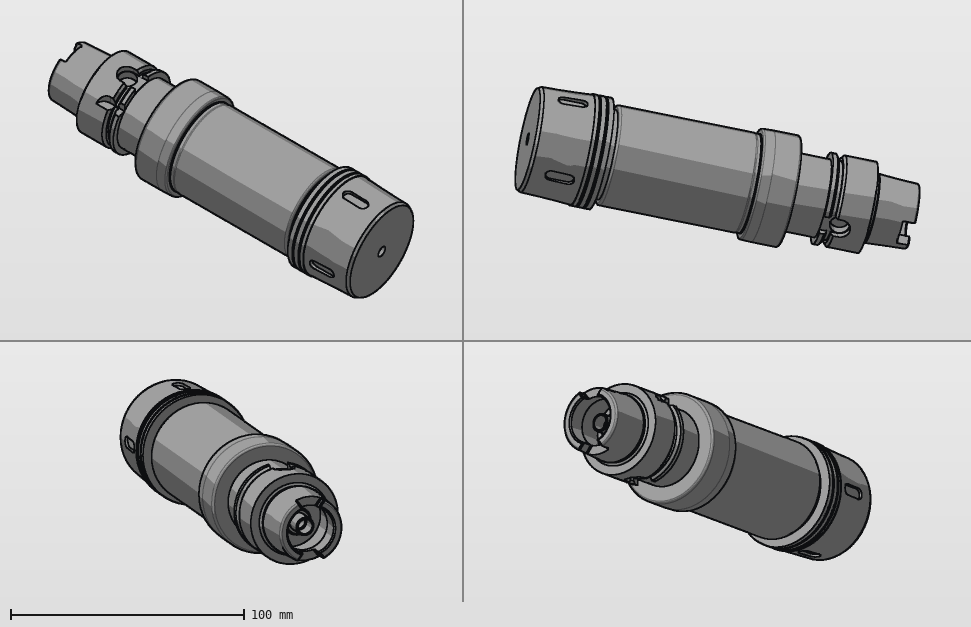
import cadquery as cq
import math


shank_tip_r = 14.3
shank_tip_rounding = 0.8
shank_base_r = 15.22
relief_start_x = 18.0
relief_floor_x = 18.4
relief_floor_end_x = 19.5
relief_r = 14.88
relief_flare_r = 16.2
flange_face_x = 20.0

flange_r = 20.0
groove_start_x = 33.8
groove_left_wall_x = 35.0
groove_right_wall_x = 36.9
groove_end_x = 37.9
groove_wall_r = 18.7
groove_floor_r = 17.3
neck_r = 17.2
flange_back_x = 40.0

collar_x = 54.7
collar_r = 24.5
collar_back_x = 71.7
collar_front_rounding = 1.0
collar_taper_x = 66.6
collar_back_r = 24.3
collar_back_rounding = 0.7
body_r = 22.0
body_relief_start_x = 72.2
body_relief_end_x = 73.8
body_relief_r = 21.8
body_shoulder_x = 74.5
body_end_rounding = 1.0
body_end_x = 135.0
nut_neck_r = 19.7

nut_x = 137.9
nut_rim_end_x = 146.2
nut_cone_end_x = 168.5
nut_cone_start_r = 24.1
nut_cone_end_r = 23.1
nut_end_r = 22.3
length = 170.0
ring_groove_starts = (140.2, 143.5)
ring_groove_width = 0.8
ring_groove_r = 23.3

slot_count = 4
slot_start_x = 149.5
slot_length = 12.8
slot_width = 5.0
slot_floor_r = 22.1

bore_r = 10.5
bore_mouth_r = 11.2
bore_mouth_depth = 0.6
undercut_r = 12.8
undercut_x = 8.2
bore_floor_x = 22.1
tube_x = 7.1
tube_r = 4.0
tube_bevel = 0.25
tube_nut_x = 15.3
tube_nut_r = 6.04
tube_nut_bevel = 0.7
tube_mouth_r = 3.2
tube_mouth_depth = 6.8
coolant_hole_r = 2.46

drive_slot_inner_width = 7.1
drive_slot_outer_width = 11.9
drive_slot_inner_z = 10.0
drive_slot_outer_z = 13.1
top_drive_depth = 3.2
bottom_drive_depth = 5.6
drive_slot_bevel = 0.5

cutter_d = 9.0
cutter_x = 32.1
pocket_hole_d = 8.5
pocket_floor_z = 12.8
pocket_channel_z = 16.8
notch_floor_z = 12.0
notch_wall_y = -12.0

MARGIN = 1.7


def revolve_about_x(points):
    """Turn a closed (x, radius) outline about the X axis."""
    return cq.Workplane("XY").polyline(points).close().revolve(360, (0, 0, 0), (1, 0, 0))


def round_corner(sketch, x, r, rounding, start, end):
    """Line to a corner at (x, r) and round it; start and end are unit steps in and out of it."""
    half = rounding * (1 - math.sqrt(0.5))
    middle_x = x - half * (start[0] - end[0])
    middle_r = r - half * (start[1] - end[1])
    return sketch.lineTo(x - rounding * start[0], r - rounding * start[1]).threePointArc(
        (middle_x, middle_r), (x + rounding * end[0], r + rounding * end[1])
    )


def line_through(sketch, points):
    for x, r in points:
        sketch = sketch.lineTo(x, r)
    return sketch


def turned_body():
    outward, inward, along = (0, 1), (0, -1), (1, 0)
    sketch = cq.Workplane("XY").moveTo(0, 0)
    sketch = round_corner(sketch, 0, shank_tip_r, shank_tip_rounding, outward, along)
    sketch = line_through(sketch, [
        (relief_start_x, shank_base_r),
        (relief_floor_x, relief_r),
        (relief_floor_end_x, relief_r),
        (flange_face_x, relief_flare_r),
        (flange_face_x, flange_r),
        (groove_start_x, flange_r),
        (groove_left_wall_x, groove_wall_r),
        (groove_left_wall_x, groove_floor_r),
        (groove_right_wall_x, groove_floor_r),
        (groove_right_wall_x, groove_wall_r),
        (groove_end_x, flange_r),
        (flange_back_x, flange_r),
        (flange_back_x, neck_r),
        (collar_x, neck_r),
    ])
    sketch = round_corner(sketch, collar_x, collar_r, collar_front_rounding, outward, along)
    sketch = sketch.lineTo(collar_taper_x, collar_r)
    sketch = round_corner(sketch, collar_back_x, collar_back_r, collar_back_rounding, along, inward)
    sketch = line_through(sketch, [
        (collar_back_x, body_r),
        (body_relief_start_x, body_relief_r),
        (body_relief_end_x, body_relief_r),
        (body_shoulder_x, body_r),
    ])
    sketch = round_corner(sketch, body_end_x, body_r, body_end_rounding, along, inward)
    sketch = line_through(sketch, [
        (body_end_x, nut_neck_r),
        (nut_x, nut_neck_r),
        (nut_x, collar_r),
    ])
    for start in ring_groove_starts:
        end = start + ring_groove_width
        sketch = line_through(sketch, [
            (start, collar_r),
            (start, ring_groove_r),
            (end, ring_groove_r),
            (end, collar_r),
        ])
    sketch = line_through(sketch, [
        (nut_rim_end_x, collar_r),
        (nut_rim_end_x, nut_cone_start_r),
        (nut_cone_end_x, nut_cone_end_r),
        (length, nut_end_r),
        (length, 0),
    ])
    return sketch.close().revolve(360, (0, 0, 0), (1, 0, 0))


def shank_bore():
    """Undercut bore, leaving the coolant tube and its nut standing."""
    return revolve_about_x([
        (0, 0),
        (0, bore_mouth_r),
        (bore_mouth_depth, bore_r),
        (undercut_x, bore_r),
        (undercut_x, undercut_r),
        (bore_floor_x, undercut_r),
        (bore_floor_x, tube_nut_r),
        (tube_nut_x + tube_nut_bevel, tube_nut_r),
        (tube_nut_x, tube_nut_r - tube_nut_bevel),
        (tube_nut_x, tube_r),
        (tube_x + tube_bevel, tube_r),
        (tube_x, tube_r - tube_bevel),
        (tube_x, 0),
    ])


def coolant_hole():
    return revolve_about_x([
        (tube_x, 0),
        (tube_x, tube_mouth_r),
        (tube_x + tube_mouth_depth, tube_mouth_r),
        (tube_x + tube_mouth_depth, coolant_hole_r),
        (length, coolant_hole_r),
        (length, 0),
    ])


def drive_slot_outline():
    """Cross-section of a drive slot whose flanks flare outwards."""
    inner = drive_slot_inner_width / 2
    outer = drive_slot_outer_width / 2
    end = shank_tip_r + MARGIN
    right_side = [
        (inner, 0),
        (inner, drive_slot_inner_z),
        (outer, drive_slot_outer_z),
        (outer, end),
    ]
    left_side = [(-y, z) for y, z in reversed(right_side)]
    return cq.Workplane("YZ").polyline(right_side + left_side).close()


def drive_slot(depth, side):
    """Notch in the shank end with bevelled edges; side is +1 on top, -1 below."""
    notch = drive_slot_outline().extrude(depth).faces(">X").edges().chamfer(drive_slot_bevel)
    mouth = (
        drive_slot_outline()
        .offset2D(drive_slot_bevel, "intersection")
        .extrude(drive_slot_bevel, taper=45)
    )
    bore = cq.Workplane("YZ").circle(bore_r).extrude(depth)
    return notch.union(mouth).cut(bore).rotate((0, 0, 0), (1, 0, 0), 90 - 90 * side)


def milled_channel(center_y, floor_z):
    """Cut of a round cutter that enters the flange from above and leaves at its back."""
    height = flange_r + MARGIN - floor_z
    run = flange_back_x - cutter_x
    plane = cq.Workplane("XY", origin=(cutter_x, center_y, floor_z))
    return plane.circle(cutter_d / 2).extrude(height).union(
        plane.center(run / 2, 0).rect(run, cutter_d).extrude(height)
    )


def drive_pocket():
    hole = (
        cq.Workplane("XY", origin=(cutter_x, 0, pocket_floor_z))
        .circle(pocket_hole_d / 2)
        .extrude(flange_r + MARGIN - pocket_floor_z)
    )
    return hole.union(milled_channel(0, pocket_channel_z))


def spanner_slot(angle):
    return (
        cq.Workplane("XY", origin=(slot_start_x + slot_length / 2, 0, slot_floor_r))
        .slot2D(slot_length, slot_width)
        .extrude(collar_r + MARGIN - slot_floor_r)
        .rotate((0, 0, 0), (1, 0, 0), angle)
    )


result = turned_body().cut(shank_bore()).cut(coolant_hole())

result = result.cut(drive_slot(top_drive_depth, 1)).cut(drive_slot(bottom_drive_depth, -1))

for angle in (0, 180):
    result = result.cut(drive_pocket().rotate((0, 0, 0), (1, 0, 0), angle))
result = result.cut(milled_channel(notch_wall_y - cutter_d / 2, notch_floor_z))

for index in range(slot_count):
    result = result.cut(spanner_slot(index * 360 / slot_count))